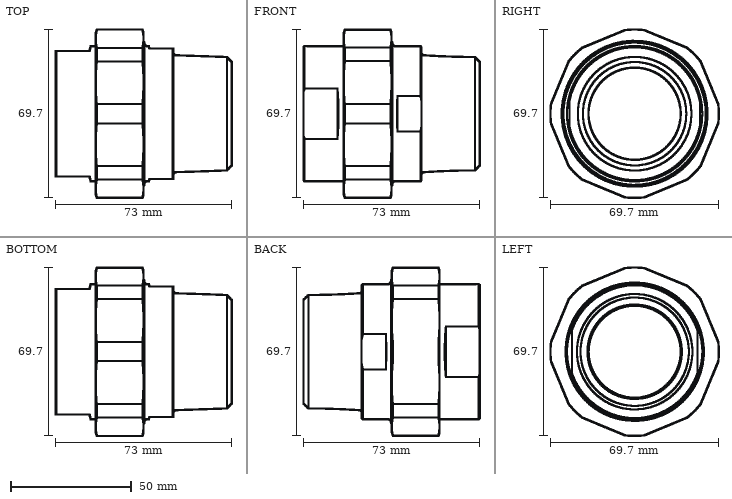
import cadquery as cq
import math


TOTAL_LENGTH = 73.0
COLLAR_RADIUS = 56.0 / 2
COUPLING_RADIUS = 60.0 / 2
EDGE_CHAMFER = 0.5
CUTTER_MARGIN = 3.65

NUT_START = 16.65
NUT_LENGTH = 19.85
NUT_END = NUT_START + NUT_LENGTH
NUT_SIDES = 8
NUT_FLAT_DISTANCE = 33.5
NUT_CORNER_RADIUS = 69.7 / 2
NUT_FACE_RADIUS = 33.3
NUT_LIP_RADIUS = 56.5 / 2
NUT_LIP_THICKNESS = 2.9
NUT_LIP_CHAMFER = 0.4
NUT_BORE_RADIUS = 60.4 / 2

JOINT_X = 32.1
FLANGE_START = NUT_START + NUT_LIP_THICKNESS
SOCKET_RADIUS = 44.8 / 2
SOCKET_MOUTH_RADIUS = 23.9
SOCKET_MOUTH_DEPTH = 1.45
SOCKET_DEPTH = 29.9
SOCKET_HOLE_RADIUS = 38.2 / 2
SOCKET_HOLE_CHAMFER = 0.45
SOCKET_FLAT_DISTANCE = 26.0
SOCKET_FLAT_LENGTH = 14.1

COUPLING_END = 36.9
COUPLING_CHAMFER = 0.6
COLLAR_FILLET = 1.0
COLLAR_END = 48.9
SPIGOT_FILLET = 0.8
SPIGOT_BASE_RADIUS = 24.2
SPIGOT_TIP_RADIUS = 23.5
SPIGOT_TIP_CHAMFER = 2.1
THREADED_HOLE_RADIUS = 38.0 / 2
COLLAR_FLAT_DISTANCE = 27.0
COLLAR_FLAT_START = 38.9

SLOPE_RUN = 0.7
SLOPE_RATE = SLOPE_RUN / (COLLAR_RADIUS - SOCKET_FLAT_DISTANCE)


def revolve_about_x(profile):
    """Revolve an (axial, radial) profile about the X axis."""
    return profile.close().revolve(360, (0, 0, 0), (1, 0, 0))


def cut_wrench_flats(body, open_x, closed_x, distance):
    """Cut a flat on the -Y and +Y sides, open at one end and sloping out at the other."""
    outer = COLLAR_RADIUS + CUTTER_MARGIN
    away_from_open = math.copysign(0.7, closed_x - open_x)
    slope = away_from_open * SLOPE_RATE * (outer - distance)
    for side in (-1, 1):
        cutter = (
            cq.Workplane("XY")
            .polyline([
                (open_x, side * distance),
                (closed_x, side * distance),
                (closed_x + slope, side * outer),
                (open_x, side * outer),
            ])
            .close()
            .extrude(COLLAR_RADIUS, both=True)
        )
        body = body.cut(cutter)
    return body


def make_socket_tail():
    """Tail piece with an open socket and a flange trapped behind the nut lip."""
    profile = (
        cq.Workplane("XY")
        .moveTo(0, SOCKET_MOUTH_RADIUS)
        .lineTo(0, COLLAR_RADIUS - EDGE_CHAMFER)
        .lineTo(EDGE_CHAMFER, COLLAR_RADIUS)
        .lineTo(FLANGE_START, COLLAR_RADIUS)
        .lineTo(FLANGE_START, COUPLING_RADIUS)
        .lineTo(JOINT_X, COUPLING_RADIUS)
        .lineTo(JOINT_X, SOCKET_HOLE_RADIUS)
        .lineTo(SOCKET_DEPTH + SOCKET_HOLE_CHAMFER, SOCKET_HOLE_RADIUS)
        .lineTo(SOCKET_DEPTH, SOCKET_HOLE_RADIUS + SOCKET_HOLE_CHAMFER)
        .lineTo(SOCKET_DEPTH, SOCKET_RADIUS)
        .lineTo(SOCKET_MOUTH_DEPTH, SOCKET_RADIUS)
    )
    tail = revolve_about_x(profile)
    return cut_wrench_flats(tail, 0, SOCKET_FLAT_LENGTH, SOCKET_FLAT_DISTANCE)


def make_threaded_tail():
    """Tail piece with a coupling end in the nut, a collar and a tapered spigot."""
    spigot_start = COLLAR_END + SPIGOT_FILLET
    profile = (
        cq.Workplane("XY")
        .moveTo(JOINT_X, THREADED_HOLE_RADIUS)
        .lineTo(JOINT_X, COUPLING_RADIUS)
        .lineTo(COUPLING_END - COUPLING_CHAMFER, COUPLING_RADIUS)
        .lineTo(COUPLING_END, COUPLING_RADIUS - COUPLING_CHAMFER)
        .lineTo(COUPLING_END, COLLAR_RADIUS + COLLAR_FILLET)
        .radiusArc((COUPLING_END + COLLAR_FILLET, COLLAR_RADIUS), -COLLAR_FILLET)
        .lineTo(COLLAR_END - EDGE_CHAMFER, COLLAR_RADIUS)
        .lineTo(COLLAR_END, COLLAR_RADIUS - EDGE_CHAMFER)
        .lineTo(COLLAR_END, SPIGOT_BASE_RADIUS + SPIGOT_FILLET)
        .radiusArc((spigot_start, SPIGOT_BASE_RADIUS), -SPIGOT_FILLET)
        .lineTo(TOTAL_LENGTH - SPIGOT_TIP_CHAMFER, SPIGOT_TIP_RADIUS)
        .lineTo(TOTAL_LENGTH, SPIGOT_TIP_RADIUS - SPIGOT_TIP_CHAMFER)
        .lineTo(TOTAL_LENGTH, THREADED_HOLE_RADIUS)
    )
    tail = revolve_about_x(profile)
    return cut_wrench_flats(tail, COLLAR_END, COLLAR_FLAT_START, COLLAR_FLAT_DISTANCE)


def make_nut():
    """Octagonal nut with rounded, chamfered corners and an inner lip."""
    ring_profile = (
        cq.Workplane("XY")
        .moveTo(NUT_START, NUT_LIP_RADIUS + NUT_LIP_CHAMFER)
        .lineTo(NUT_START, NUT_FACE_RADIUS)
        .lineTo(NUT_START + EDGE_CHAMFER, NUT_CORNER_RADIUS)
        .lineTo(NUT_END - EDGE_CHAMFER, NUT_CORNER_RADIUS)
        .lineTo(NUT_END, NUT_FACE_RADIUS)
        .lineTo(NUT_END, NUT_BORE_RADIUS)
        .lineTo(FLANGE_START, NUT_BORE_RADIUS)
        .lineTo(FLANGE_START, NUT_LIP_RADIUS)
        .lineTo(NUT_START + NUT_LIP_CHAMFER, NUT_LIP_RADIUS)
    )
    octagon_diameter = 2 * NUT_FLAT_DISTANCE / math.cos(math.pi / NUT_SIDES)
    octagon = (
        cq.Workplane("YZ", origin=(NUT_START, 0, 0))
        .polygon(NUT_SIDES, octagon_diameter)
        .extrude(NUT_LENGTH)
    )
    return revolve_about_x(ring_profile).intersect(octagon)


socket_tail = make_socket_tail()
threaded_tail = make_threaded_tail()
nut = make_nut()

result = cq.Compound.makeCompound([socket_tail.val(), threaded_tail.val(), nut.val()])